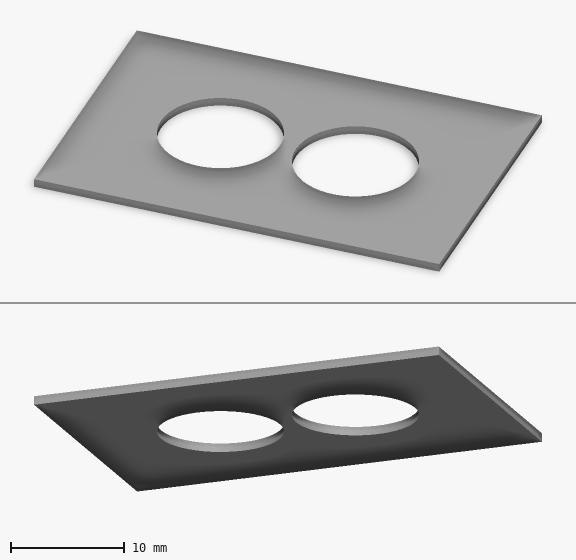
import cadquery as cq

plate_length = 38.1
plate_width = 25.4
plate_thickness = 0.79

hole_diameter = 11.18
hole_spacing = 12.7


def make_plate():
    """Flat rectangular plate."""
    return cq.Workplane("XY").box(plate_length, plate_width, plate_thickness)


def cut_holes(plate):
    """Cut the pair of through holes, symmetric about the plate centre."""
    hole_centers = [(-hole_spacing / 2, 0), (hole_spacing / 2, 0)]
    return plate.faces(">Z").workplane().pushPoints(hole_centers).hole(hole_diameter)


result = cut_holes(make_plate())